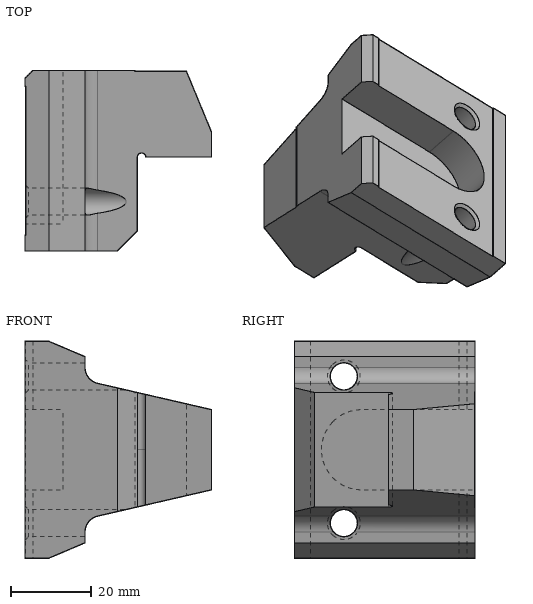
import cadquery as cq
import math

length = 46.5
width = 45.0
height = 54.0

flange_straight = 6.0
flange_thickness = 15.0
flange_edge_drop = 3.85
neck_end_height = 20.0
neck_taper = 13.0
neck_fillet = 4.0

foot_length = 28.0
foot_chamfer = 5.0
nose_depth = 21.6
nose_slope_length = 6.25
nose_slope_depth = 15.4
base_chamfer = 2.0
undercut_radius = 1.0

relief_depth = 0.2
base_pad_width = 4.0
back_pad_length = 27.4

slot_width = 20.0
slot_depth = 9.5
slot_length = 38.25

hole_diameter = 6.7
countersink_diameter = 8.15
hole_spacing = 36.5
hole_from_front = 12.3


def side_body():
    """Symmetric XZ profile extruded over the full width."""
    half_height = height / 2
    half_end = neck_end_height / 2
    flange_edge = half_height - flange_edge_drop
    half_root = half_end + (length - flange_thickness) * math.tan(math.radians(neck_taper))
    upper = [
        (0, half_height),
        (flange_straight, half_height),
        (flange_thickness, flange_edge),
        (flange_thickness, half_root),
        (length, half_end),
    ]
    lower = [(x, -z) for x, z in reversed(upper)]
    body = cq.Workplane("XZ").polyline(upper + lower).close().extrude(-width)
    root_corners = cq.selectors.BoxSelector(
        (flange_thickness - 0.55, -0.55, -half_root - 0.55),
        (flange_thickness + 0.55, width + 0.55, half_root + 0.55),
    )
    return body.edges("|Y").edges(root_corners).fillet(neck_fillet)


def plan_prism():
    """XY outline extruded over the full height, with the notch corner undercut."""
    notch_y = width - nose_depth
    relieved_back = width - relief_depth
    outline = [
        (0, 0),
        (foot_length - foot_chamfer, 0),
        (foot_length, foot_chamfer),
        (foot_length, notch_y),
        (length, notch_y),
        (length, width - nose_slope_depth),
        (length - nose_slope_length, relieved_back),
        (back_pad_length, relieved_back),
        (back_pad_length, width),
        (base_chamfer, width),
        (0, width - base_chamfer),
        (0, width - base_pad_width),
        (relief_depth, width - base_pad_width),
        (relief_depth, base_pad_width),
        (0, base_pad_width),
    ]
    plan = cq.Workplane("XY").polyline(outline).close().extrude(height / 2, both=True)
    undercut = (
        cq.Workplane("XY")
        .center(foot_length + undercut_radius, notch_y)
        .circle(undercut_radius)
        .extrude(height / 2, both=True)
    )
    return plan.cut(undercut)


def base_slot():
    """Slot open at the back, ending in a half circle toward the front."""
    radius = slot_width / 2
    arc_center_y = width - slot_length + radius
    return (
        cq.Workplane("YZ")
        .moveTo(width, radius)
        .lineTo(arc_center_y, radius)
        .threePointArc((arc_center_y - radius, 0), (arc_center_y, -radius))
        .lineTo(width, -radius)
        .close()
        .extrude(slot_depth)
    )


def countersunk_hole(z):
    """Through hole with a 45 degree countersink starting at the relieved base face."""
    radius = hole_diameter / 2
    mouth_radius = countersink_diameter / 2
    start = cq.Vector(relief_depth, hole_from_front, z)
    axis = cq.Vector(1, 0, 0)
    bore = cq.Solid.makeCylinder(radius, length, start, axis)
    cone = cq.Solid.makeCone(mouth_radius, radius, mouth_radius - radius, start, axis)
    return bore.fuse(cone)


result = side_body().intersect(plan_prism()).cut(base_slot())
for side in (-1, 1):
    result = result.cut(cq.Workplane(countersunk_hole(side * hole_spacing / 2)))